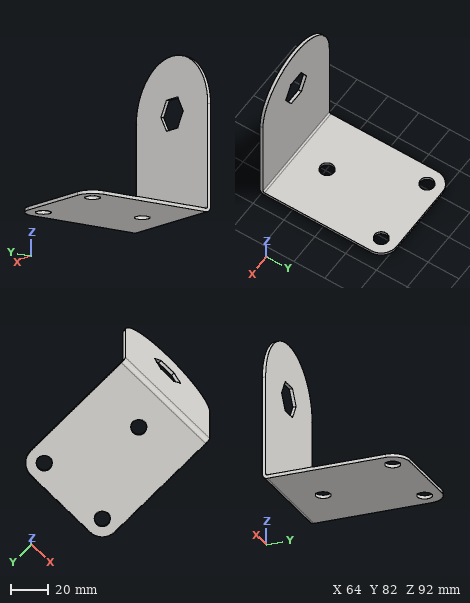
import cadquery as cq
import math

width = 64.0
depth = 82.0
height = 92.0
thickness = 2.0

inner_bend_radius = 1.0
outer_bend_radius = inner_bend_radius + thickness

top_radius = width / 2
top_center_z = height - top_radius
hex_across_flats = 17.0
hex_across_corners = hex_across_flats / math.cos(math.pi / 6)

corner_radius = 10.0
hole_diameter = 8.5
rear_hole_x = width / 2 - corner_radius
rear_hole_y = depth - corner_radius
front_hole_y = 22.0


def make_base():
    """Flat plate lying on Z = 0, with its front edge at Y = 0."""
    base = (
        cq.Workplane("XY")
        .box(width, depth, thickness, centered=(True, False, False))
        .edges("|Z and >Y")
        .fillet(corner_radius)
    )
    hole_centers = [
        (-rear_hole_x, rear_hole_y),
        (rear_hole_x, rear_hole_y),
        (0, front_hole_y),
    ]
    holes = (
        cq.Workplane("XY")
        .pushPoints(hole_centers)
        .circle(hole_diameter / 2)
        .extrude(thickness)
    )
    return base.cut(holes)


def make_upright():
    """Vertical plate with its outer face at Y = 0."""
    plate = (
        cq.Workplane("XZ")
        .moveTo(-width / 2, 0)
        .lineTo(width / 2, 0)
        .lineTo(width / 2, top_center_z)
        .threePointArc((0, height), (-width / 2, top_center_z))
        .close()
        .extrude(-thickness)
    )
    hexagon = (
        cq.Workplane("XZ")
        .center(0, top_center_z)
        .polygon(6, hex_across_corners)
        .extrude(-thickness)
    )
    return plate.cut(hexagon)


def round_bend(bracket):
    """Round the inside and outside of the bend line."""
    inner_corner = cq.selectors.NearestToPointSelector((0, thickness, thickness))
    outer_corner = cq.selectors.NearestToPointSelector((0, 0, 0))
    bracket = bracket.edges("|X").edges(inner_corner).fillet(inner_bend_radius)
    return bracket.edges("|X").edges(outer_corner).fillet(outer_bend_radius)


bracket = make_base().union(make_upright())
result = round_bend(bracket).translate((0, -depth / 2, -height / 2))